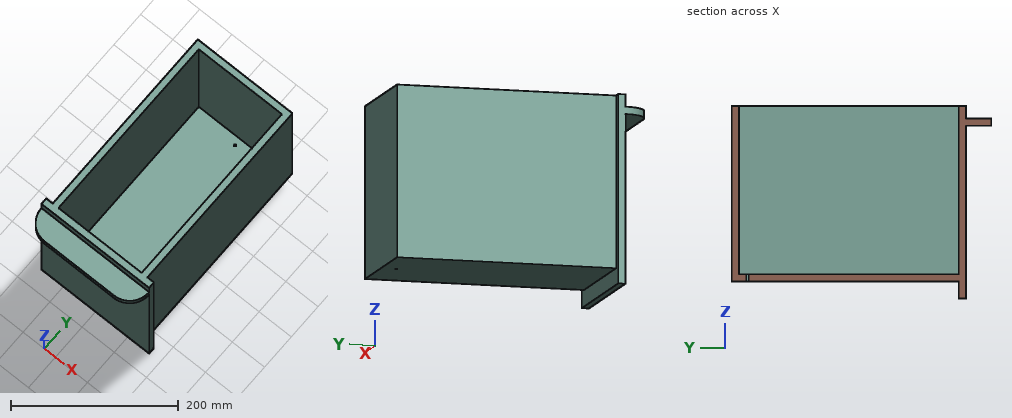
import cadquery as cq

front_width = 167.0
total_length = 310.0
total_height = 230.0

board = 9.0
box_width = 147.0
front_drop = 20.0

handle_depth = 30.0
handle_corner_radius = 29.8
handle_top_gap = 15.0

hole_diameter = 2.5
hole_from_back = 19.0

box_back = total_length - handle_depth
box_length = box_back - board
box_height = total_height - front_drop


def block(width, y_start, length, z_start, height):
    """Box centred on X, starting at the given Y and Z."""
    return (
        cq.Workplane("XY")
        .box(width, length, height, centered=(True, False, False))
        .translate((0, y_start, z_start))
    )


def make_box():
    """Open-topped box whose front end is closed by the front panel."""
    outer = block(box_width, board, box_length, front_drop, box_height)
    cavity = block(
        box_width - 2 * board,
        board,
        box_length - board,
        front_drop + board,
        box_height - board,
    )
    return outer.cut(cavity)


def make_front_panel():
    return block(front_width, 0, board, 0, total_height)


def make_handle():
    """Horizontal shelf with rounded outer corners."""
    bottom = total_height - handle_top_gap - board
    shelf = block(front_width, -handle_depth, handle_depth, bottom, board)
    return shelf.edges("|Z and <Y").fillet(handle_corner_radius)


def make_floor_hole():
    return (
        cq.Workplane("XY", origin=(0, box_back - hole_from_back, front_drop))
        .circle(hole_diameter / 2)
        .extrude(board)
    )


result = make_box().union(make_front_panel()).union(make_handle()).cut(make_floor_hole())